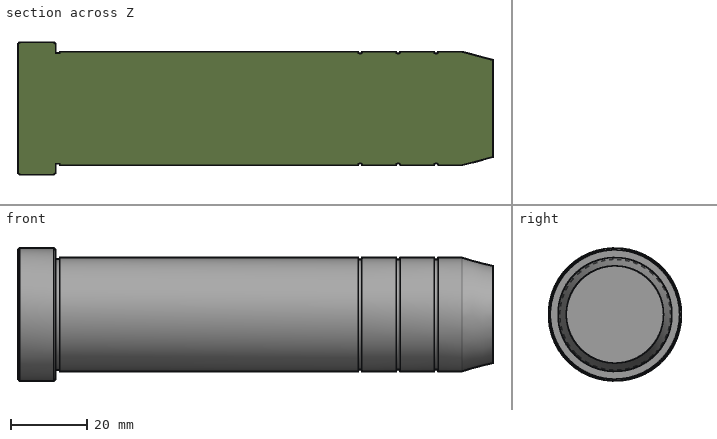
import cadquery as cq

total_length = 125.0
head_diameter = 35.0
head_length = 10.0
head_chamfer = 0.5
shank_diameter = 30.0

relief_width = 1.0
relief_depth = 0.4

oil_groove_radius = 0.5
oil_groove_count = 3
oil_groove_pitch = 10.0
first_oil_groove_center = 90.0

taper_length = 8.2
taper_angle = 15.0


def disc(start, length, diameter):
    """Solid cylinder on the X axis."""
    return cq.Workplane("YZ", origin=(start, 0, 0)).circle(diameter / 2).extrude(length)


def relief_ring():
    """Ring to be cut from the shank directly behind the head."""
    return (
        cq.Workplane("YZ", origin=(head_length, 0, 0))
        .circle(head_diameter / 2)
        .circle(shank_diameter / 2 - relief_depth)
        .extrude(relief_width)
    )


def oil_groove_ring(center):
    """Torus centred on the shank surface; its inner half forms a semicircular groove."""
    return (
        cq.Workplane("XY")
        .center(center, shank_diameter / 2)
        .circle(oil_groove_radius)
        .revolve(360, (0, -shank_diameter / 2, 0), (1, -shank_diameter / 2, 0))
    )


head = disc(0, head_length, head_diameter).edges().chamfer(head_chamfer)

taper_start = total_length - taper_length
shank = disc(head_length, taper_start - head_length, shank_diameter)

tip = (
    cq.Workplane("YZ", origin=(taper_start, 0, 0))
    .circle(shank_diameter / 2)
    .extrude(taper_length, taper=taper_angle)
)

result = head.union(shank).union(tip)

result = result.cut(relief_ring())

for index in range(oil_groove_count):
    result = result.cut(oil_groove_ring(first_oil_groove_center + index * oil_groove_pitch))